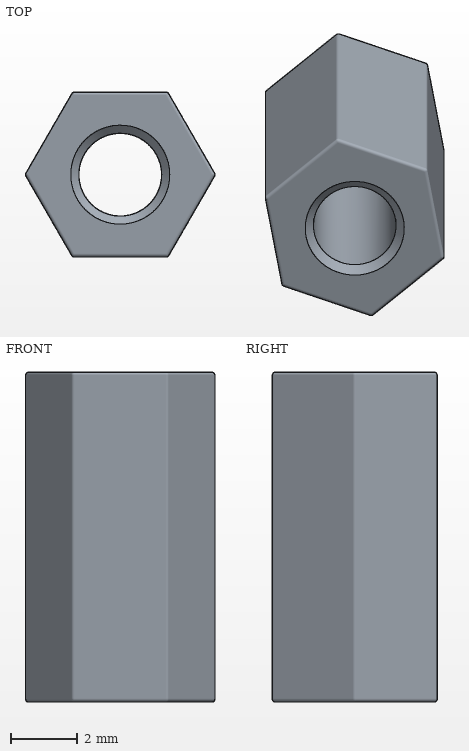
import cadquery as cq
import math

side_count = 6
across_flats = 5.0
length = 10.0
edge_radius = 0.1
bore_diameter = 2.5
countersink_diameter = 3.0
countersink_depth = (countersink_diameter - bore_diameter) / 2


def hex_body():
    """Hexagonal bar with corners along X and every outer edge rounded."""
    across_corners = across_flats / math.cos(math.pi / side_count)
    bar = cq.Workplane("XY").polygon(side_count, across_corners).extrude(length)
    return bar.edges().fillet(edge_radius)


def countersunk_bore():
    """Through bore with a conical lead-in at both ends, as a solid of revolution."""
    bore_radius = bore_diameter / 2
    mouth_radius = countersink_diameter / 2
    half_section = [
        (0, 0),
        (mouth_radius, 0),
        (bore_radius, countersink_depth),
        (bore_radius, length - countersink_depth),
        (mouth_radius, length),
        (0, length),
    ]
    profile = cq.Workplane("XZ").polyline(half_section).close()
    return profile.revolve(360, (0, 0, 0), (0, 1, 0))


result = hex_body().cut(countersunk_bore())